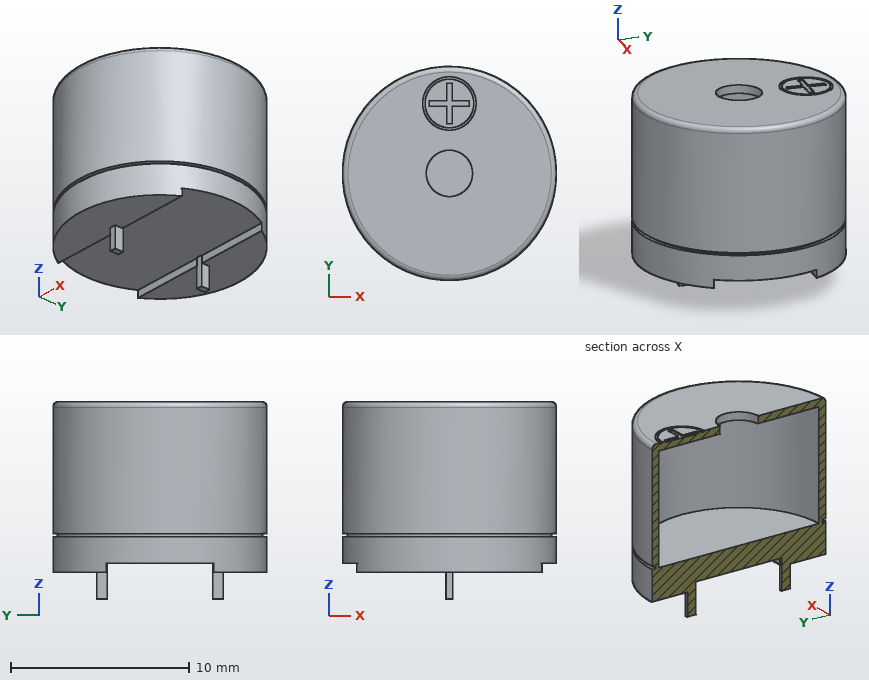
import cadquery as cq

body_diameter = 12.0
overall_height = 11.07
pin_length = 1.5
body_height = overall_height - pin_length
top_fillet = 0.3

base_height = 2.0
groove_width = 0.17
groove_diameter = 11.5

chamber_diameter = 11.0
roof_thickness = 0.5
sound_hole_diameter = 2.6

slot_width = 6.0
slot_depth = 0.5

pin_pitch = 6.5
pin_size_x = 0.4
pin_size_y = 0.6

mark_center_y = 3.92
mark_outer_diameter = 3.0
mark_inner_diameter = 2.73
plus_length = 2.25
plus_stroke = 0.3
mark_depth = 0.07


def disc(diameter, z_bottom, z_top, center_y=0.0):
    """Upright cylinder between two heights."""
    plane = cq.Workplane("XY", origin=(0, center_y, z_bottom))
    return plane.circle(diameter / 2).extrude(z_top - z_bottom)


def block(size_x, size_y, z_bottom, z_top, center_y=0.0):
    """Upright box between two heights, centred on X = 0."""
    plane = cq.Workplane("XY", origin=(0, center_y, z_bottom))
    return plane.rect(size_x, size_y).extrude(z_top - z_bottom)


def make_housing():
    """Rounded cylinder with the groove, the chamber and the sound hole."""
    housing = disc(body_diameter, 0, body_height).faces(">Z").edges().fillet(top_fillet)
    groove_top = base_height + groove_width
    groove = disc(body_diameter, base_height, groove_top).cut(
        disc(groove_diameter, base_height, groove_top)
    )
    roof_bottom = body_height - roof_thickness
    chamber = disc(chamber_diameter, base_height, roof_bottom)
    sound_hole = disc(sound_hole_diameter, roof_bottom, body_height)
    return housing.cut(groove).cut(chamber).cut(sound_hole)


def make_polarity_mark():
    """Material removed from the roof by the ring and the plus sign."""
    mark_bottom = body_height - mark_depth
    ring = disc(mark_outer_diameter, mark_bottom, body_height, mark_center_y).cut(
        disc(mark_inner_diameter, mark_bottom, body_height, mark_center_y)
    )
    bar_x = block(plus_length, plus_stroke, mark_bottom, body_height, mark_center_y)
    bar_y = block(plus_stroke, plus_length, mark_bottom, body_height, mark_center_y)
    return ring.union(bar_x.union(bar_y))


def make_pin(center_y):
    """Flat pin rising from its tip to the slot ceiling."""
    return block(pin_size_x, pin_size_y, -pin_length, slot_depth, center_y)


result = make_housing()
result = result.cut(make_polarity_mark())
result = result.cut(block(body_diameter, slot_width, 0, slot_depth))
for side in (-1, 1):
    result = result.union(make_pin(side * pin_pitch / 2))